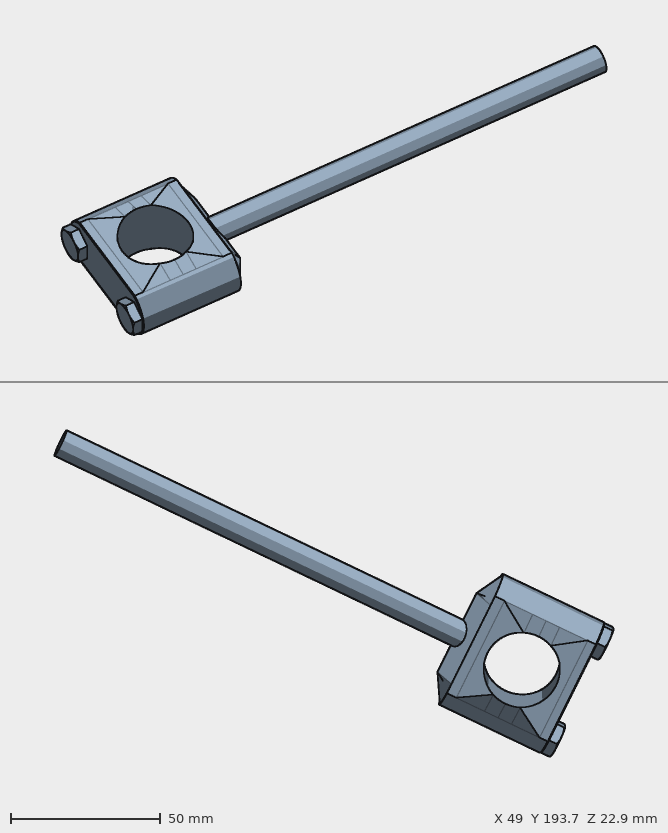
import cadquery as cq
import math

overall_width = 49.02
overall_height = 22.86
overall_length = 193.66
block_depth = 37.7
flat_width = 36.7
flat_half_height = 9.53
bore_diameter = 25.4
front_bevel = 0.3

hip_depth = 30.9
crest_depth = 10.0

roof_angle = 30.0
roof_radius = 9.1
ridge_length = 29.8
rod_diameter = 9.525

head_across_flats = 11.11
head_height = 3.6
head_spacing = 36.7
head_chamfer_angle = 30.0
hexagon_turn = 90.0
hexagon_sides = 6

half_depth = block_depth / 2
half_height = overall_height / 2
half_flat = flat_width / 2
half_ridge = ridge_length / 2
bore_radius = bore_diameter / 2
crest_half_depth = crest_depth / 2
crest_half_width = math.sqrt(bore_radius**2 - crest_half_depth**2)
roof_length = roof_radius * math.tan(math.radians(roof_angle))
rod_end = overall_length - half_depth - head_height


def clamp_block():
    """Main block: flat top and bottom, bulged sides and a slightly bevelled front edge."""
    block = (
        cq.Workplane("XZ", origin=(0, half_depth, 0))
        .moveTo(-half_flat, flat_half_height)
        .lineTo(half_flat, flat_half_height)
        .threePointArc((overall_width / 2, 0), (half_flat, -flat_half_height))
        .lineTo(-half_flat, -flat_half_height)
        .threePointArc((-overall_width / 2, 0), (-half_flat, flat_half_height))
        .close()
        .extrude(block_depth)
    )
    return block.faces("<Y").edges().chamfer(front_bevel)


def roof_end():
    """Wedge closing the rear face, with a half cone at each end of its ridge."""
    wedge = (
        cq.Workplane("YZ", origin=(-half_ridge, 0, 0))
        .polyline(
            [
                (half_depth, -roof_radius),
                (half_depth + roof_length, 0),
                (half_depth, roof_radius),
            ]
        )
        .close()
        .extrude(ridge_length)
    )
    for side in (-1, 1):
        cone = cq.Solid.makeCone(
            roof_radius,
            0,
            roof_length,
            pnt=cq.Vector(side * half_ridge, half_depth, 0),
            dir=cq.Vector(0, 1, 0),
        )
        wedge = wedge.union(cq.Workplane(cone))
    return wedge


def hip():
    """Hipped rise from the flat faces up to the crest beside the bore."""
    return (
        cq.Workplane("XY", origin=(0, 0, flat_half_height))
        .rect(flat_width, hip_depth)
        .workplane(offset=half_height - flat_half_height)
        .rect(2 * crest_half_width, crest_depth)
        .loft(ruled=True)
    )


def crest_section(y, inner_x):
    """Wire of the crest cross-section at y, rising from the flat edge to inner_x."""
    return cq.Wire.makePolygon(
        [
            cq.Vector(half_flat, y, flat_half_height),
            cq.Vector(inner_x, y, half_height),
            cq.Vector(inner_x, y, flat_half_height),
        ],
        close=True,
    )


def crest():
    """Ruled surface that keeps the bore rim level between the hip corners."""
    sections = [
        crest_section(-crest_half_depth, crest_half_width),
        crest_section(0, bore_radius),
        crest_section(crest_half_depth, crest_half_width),
    ]
    return cq.Workplane(cq.Solid.makeLoft(sections, True))


def raised_face():
    """Complete hipped rise on the top face."""
    right_crest = crest()
    return hip().union(right_crest).union(right_crest.mirror("YZ"))


def bolt_head(x):
    """Hexagon head with flats facing left and right and a chamfered front rim."""
    corner_diameter = head_across_flats / math.cos(math.pi / hexagon_sides)
    rim_inset = (corner_diameter - head_across_flats) / 2
    rim_drop = rim_inset * math.tan(math.radians(head_chamfer_angle))
    hexagon = (
        cq.Workplane("XZ", origin=(x, -half_depth, 0))
        .transformed(rotate=(0, 0, hexagon_turn))
        .polygon(hexagon_sides, corner_diameter)
        .extrude(head_height)
    )
    envelope = (
        cq.Workplane("XZ", origin=(x, -half_depth, 0))
        .circle(corner_diameter / 2)
        .extrude(head_height)
        .faces("<Y")
        .chamfer(rim_drop, rim_inset)
    )
    return hexagon.intersect(envelope)


def handle_rod():
    """Round rod running rearward from inside the roof end."""
    return (
        cq.Workplane("XZ", origin=(0, half_depth, 0))
        .circle(rod_diameter / 2)
        .extrude(half_depth - rod_end)
    )


def bore():
    """Vertical through bore."""
    return cq.Workplane("XY", origin=(0, 0, -half_height)).circle(bore_radius).extrude(overall_height)


top_face = raised_face()
result = clamp_block().union(roof_end())
result = result.union(top_face).union(top_face.mirror("XY")).cut(bore())
for side in (-1, 1):
    result = result.union(bolt_head(side * head_spacing / 2))
result = result.union(handle_rod())